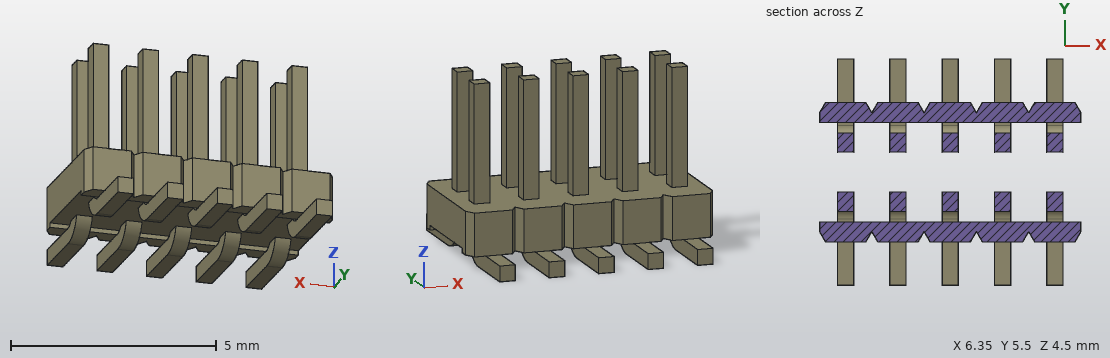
import cadquery as cq
import math

columns = 5
pitch = 1.27
pin_width = 0.4
total_height = 4.5
foot_span = 5.5
inner_bend_radius = 0.3
outer_bend_radius = inner_bend_radius + pin_width

body_length = columns * pitch
body_width = 3.4
body_height = 1.1
body_bottom = pin_width
notch_depth = 0.255
notch_half_angle = 30
notch_half_width = notch_depth * math.tan(math.radians(notch_half_angle))

relief_width = 2.41
relief_depth = 0.115


def make_body():
    """Housing whose cells each have tapered corners, forming V notches between columns."""
    left = -body_length / 2
    front = -body_width / 2
    front_edge = []
    for cell in range(columns):
        cell_start = left + cell * pitch
        cell_end = cell_start + pitch
        front_edge += [
            (cell_start, front + notch_depth),
            (cell_start + notch_half_width, front),
            (cell_end - notch_half_width, front),
        ]
    front_edge.append((left + body_length, front + notch_depth))
    back_edge = [(x, -y) for x, y in reversed(front_edge)]

    body = (
        cq.Workplane("XY")
        .workplane(offset=body_bottom)
        .polyline(front_edge + back_edge)
        .close()
        .extrude(body_height)
    )
    relief = cq.Workplane("XY").box(
        body_length, relief_width, relief_depth, centered=(True, True, False)
    )
    return body.cut(relief.translate((0, 0, body_bottom)))


def make_pin():
    """Square pin in the +Y row: an upright post bent into a tail pointing along +Y."""
    near_face = (pitch - pin_width) / 2
    far_face = near_face + pin_width
    tail_end = foot_span / 2
    bend_y = near_face + outer_bend_radius
    bend_z = outer_bend_radius
    diagonal = math.sqrt(0.5)

    def bend_middle(radius):
        return (bend_y - radius * diagonal, bend_z - radius * diagonal)

    return (
        cq.Workplane("YZ")
        .moveTo(near_face, total_height)
        .lineTo(near_face, bend_z)
        .threePointArc(bend_middle(outer_bend_radius), (bend_y, 0))
        .lineTo(tail_end, 0)
        .lineTo(tail_end, pin_width)
        .lineTo(bend_y, pin_width)
        .threePointArc(bend_middle(inner_bend_radius), (far_face, bend_z))
        .lineTo(far_face, total_height)
        .close()
        .extrude(pin_width / 2, both=True)
    )


result = make_body()
back_pin = make_pin()
front_pin = back_pin.mirror("XZ")
for column in range(columns):
    column_x = (column - (columns - 1) / 2) * pitch
    for pin in (back_pin, front_pin):
        result = result.union(pin.translate((column_x, 0, 0)))